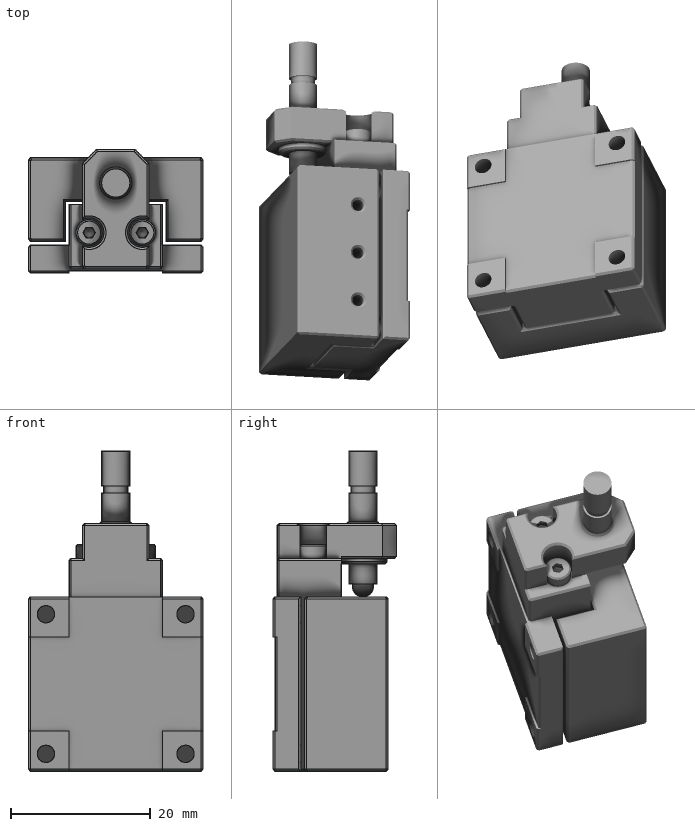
import cadquery as cq
import math


STAGE_SIZE = 25.0
EDGE_CHAMFER = 0.3
RAIL_HALF_WIDTH = 6.7
RAIL_BACK_Y = 9.8
MID_Z = STAGE_SIZE / 2

PLATE_BACK_Y = 4.0
PAD_HEIGHT = 0.3
PAD_SIZE_Z = 5.8
PAD_SIZE_X = STAGE_SIZE / 2 - RAIL_HALF_WIDTH
PLATE_HOLE_RADIUS = 1.25
PLATE_HOLE_PITCH = 20.0

TABLE_FRONT_Y = 4.55
TABLE_BACK_Y = 16.52
CHANNEL_HALF_WIDTH = 7.2
CHANNEL_FLOOR_Y = 10.25
SIDE_HOLE_RADIUS = 0.83
SIDE_HOLE_PITCH = 7.0
SIDE_HOLE_Y = 7.65

BRACKET_FRONT_Y = 0.6
SHOULDER_Z = STAGE_SIZE + 5.5
ARM_THICKNESS = 5.0
ARM_TOP_Z = SHOULDER_Z + ARM_THICKNESS
ARM_HALF_WIDTH = 4.77
ARM_BACK_Y = 17.7
ARM_CORNER = 2.0

PIN_Y = 12.9
PIN_RADIUS = 2.0
PIN_TOP_Z = 45.9
GROOVE_RADIUS = 1.75
GROOVE_WIDTH = 1.0
GROOVE_DEPTH_FROM_TOP = 5.0
COLLAR_RADIUS = 3.5
COLLAR_THICKNESS = 0.8
PIN_LOWER_LENGTH = 3.65
BALL_RADIUS = 1.5

SCREW_X = 3.8
SCREW_Y = 5.8
HEAD_RADIUS = 1.9
HEAD_HEIGHT = 2.0
HEAD_CHAMFER = 0.25
SHANK_RADIUS = 1.0
SHANK_LENGTH = SHOULDER_Z - STAGE_SIZE
SCREW_BORE_RADIUS = 2.1
SOCKET_ACROSS_FLATS = 1.5
SOCKET_DEPTH = 1.0
DRILL_TIP_ANGLE = 118


def block(half_width, y_front, y_back, z_bottom, z_top):
    """A box centred on X = 0 between the given Y and Z planes."""
    size = (2 * half_width, y_back - y_front, z_top - z_bottom)
    return cq.Workplane("XY").box(*size, centered=(True, False, False)).translate((0, y_front, z_bottom))


def revolve_about_z(profile):
    """Solid of revolution from a closed list of (radius, z) points."""
    return cq.Workplane("XZ").polyline(profile).close().revolve(360, (0, 0), (0, 1))


def countersunk_cutter(radius, depth):
    """Hole cutter with its mouth at z = 0, flared by the edge chamfer, going down by depth."""
    mouth = radius + EDGE_CHAMFER
    return revolve_about_z([(0, 0), (mouth, 0), (radius, -EDGE_CHAMFER), (radius, -depth), (0, -depth)])


def make_table():
    half = STAGE_SIZE / 2
    outline = [
        (-half, TABLE_BACK_Y),
        (-half, TABLE_FRONT_Y),
        (-CHANNEL_HALF_WIDTH, TABLE_FRONT_Y),
        (-CHANNEL_HALF_WIDTH, CHANNEL_FLOOR_Y),
        (CHANNEL_HALF_WIDTH, CHANNEL_FLOOR_Y),
        (CHANNEL_HALF_WIDTH, TABLE_FRONT_Y),
        (half, TABLE_FRONT_Y),
        (half, TABLE_BACK_Y),
    ]
    table = cq.Workplane("XY").polyline(outline).close().extrude(STAGE_SIZE)
    table = table.edges("|Z and (<X or >X)").chamfer(EDGE_CHAMFER)
    table = table.faces("<Z or >Z").edges().chamfer(EDGE_CHAMFER)

    wall = half - CHANNEL_HALF_WIDTH
    hole = countersunk_cutter(SIDE_HOLE_RADIUS, wall).rotate((0, 0, 0), (0, 1, 0), -90)
    for row in (-1, 0, 1):
        table = table.cut(hole.translate((-half, SIDE_HOLE_Y, MID_Z + row * SIDE_HOLE_PITCH)))
    return table


def make_plate():
    """Mounting plate with four raised, drilled corner pads on its front."""
    half = STAGE_SIZE / 2
    recessed = block(half, PAD_HEIGHT, PLATE_BACK_Y, 0, STAGE_SIZE)
    recessed = recessed.faces("<X or >X").edges().chamfer(EDGE_CHAMFER)
    recessed = recessed.faces("<Y").edges("<Z").chamfer(EDGE_CHAMFER)
    full = block(half, 0, PLATE_BACK_Y, 0, STAGE_SIZE)
    full = full.faces("<X or >X or <Y").edges().chamfer(EDGE_CHAMFER)
    pads = (
        cq.Workplane("XY")
        .rarray(STAGE_SIZE - PAD_SIZE_X, 0.45, 2, 1)
        .rect(PAD_SIZE_X, 2 * PLATE_BACK_Y)
        .extrude(PAD_SIZE_Z)
    )
    pads = pads.union(pads.translate((0, 0, STAGE_SIZE - PAD_SIZE_Z)))
    plate = recessed.union(full.intersect(pads))
    holes = (
        cq.Workplane("XZ")
        .center(0, MID_Z)
        .rarray(PLATE_HOLE_PITCH, PLATE_HOLE_PITCH, 2, 2)
        .circle(PLATE_HOLE_RADIUS)
        .extrude(-PLATE_BACK_Y)
    )
    return plate.cut(holes)


def make_rail_and_shoulders():
    """Rail behind the plate, rising above it as the lower block of the bracket."""
    rail = block(RAIL_HALF_WIDTH, PLATE_BACK_Y, RAIL_BACK_Y, 0, SHOULDER_Z)
    rail = rail.faces("<Z").edges("|Y").chamfer(EDGE_CHAMFER)
    rail = rail.faces(">Z").edges("|Y").chamfer(EDGE_CHAMFER)
    front = block(RAIL_HALF_WIDTH, BRACKET_FRONT_Y, RAIL_BACK_Y, STAGE_SIZE, SHOULDER_Z)
    front = front.edges("(|Z and <Y) or (|Y and >Z) or (|X and <Y and >Z)").chamfer(EDGE_CHAMFER)
    return rail.union(front)


def make_arm():
    """Overhanging arm with cut back corners, standing on the shoulders."""
    outline = [
        (-ARM_HALF_WIDTH, BRACKET_FRONT_Y),
        (ARM_HALF_WIDTH, BRACKET_FRONT_Y),
        (ARM_HALF_WIDTH, ARM_BACK_Y - ARM_CORNER),
        (ARM_HALF_WIDTH - ARM_CORNER, ARM_BACK_Y),
        (-ARM_HALF_WIDTH + ARM_CORNER, ARM_BACK_Y),
        (-ARM_HALF_WIDTH, ARM_BACK_Y - ARM_CORNER),
    ]
    arm = cq.Workplane("XY").workplane(offset=SHOULDER_Z).polyline(outline).close().extrude(ARM_THICKNESS)
    arm = arm.edges("|Z and <Y").chamfer(EDGE_CHAMFER)
    arm = arm.faces("<Z or >Z").edges().chamfer(EDGE_CHAMFER)
    foot_overlap = 2 * EDGE_CHAMFER
    foot = block(
        ARM_HALF_WIDTH, BRACKET_FRONT_Y, RAIL_BACK_Y, SHOULDER_Z - foot_overlap, SHOULDER_Z + foot_overlap
    )
    return arm.union(foot.edges("|Z and <Y").chamfer(EDGE_CHAMFER))


def make_pin():
    """Grooved adjusting pin with a collar under the arm and a ball tip resting on the table."""
    groove_top = PIN_TOP_Z - GROOVE_DEPTH_FROM_TOP
    groove_bottom = groove_top - GROOVE_WIDTH
    collar_bottom = SHOULDER_Z - COLLAR_THICKNESS
    pin_bottom = SHOULDER_Z - PIN_LOWER_LENGTH
    ball_z = STAGE_SIZE + BALL_RADIUS
    profile = [
        (0, PIN_TOP_Z),
        (PIN_RADIUS, PIN_TOP_Z),
        (PIN_RADIUS, groove_top),
        (GROOVE_RADIUS, groove_top),
        (GROOVE_RADIUS, groove_bottom),
        (PIN_RADIUS, groove_bottom),
        (PIN_RADIUS, ARM_TOP_Z + EDGE_CHAMFER),
        (PIN_RADIUS + EDGE_CHAMFER, ARM_TOP_Z),
        (PIN_RADIUS + EDGE_CHAMFER, SHOULDER_Z),
        (COLLAR_RADIUS, SHOULDER_Z),
        (COLLAR_RADIUS, collar_bottom + EDGE_CHAMFER),
        (COLLAR_RADIUS - EDGE_CHAMFER, collar_bottom),
        (PIN_RADIUS, collar_bottom),
        (PIN_RADIUS, pin_bottom),
        (math.sqrt(BALL_RADIUS**2 - (pin_bottom - ball_z) ** 2), pin_bottom),
    ]
    arc_middle = (BALL_RADIUS * math.sin(math.pi / 4), ball_z - BALL_RADIUS * math.cos(math.pi / 4))
    pin = (
        cq.Workplane("XZ")
        .polyline(profile)
        .threePointArc(arc_middle, (0, STAGE_SIZE))
        .close()
        .revolve(360, (0, 0), (0, 1))
    )
    return pin.translate((0, PIN_Y, 0))


def make_base():
    """Plate, rail, bracket and pin as one body, with the seats for the two screws."""
    base = make_plate().union(make_rail_and_shoulders()).union(make_arm()).union(make_pin())
    head_bore = countersunk_cutter(SCREW_BORE_RADIUS, ARM_THICKNESS)
    shank_hole = cq.Workplane("XY").circle(SHANK_RADIUS).extrude(-SHANK_LENGTH)
    for side in (-1, 1):
        base = base.cut(head_bore.translate((side * SCREW_X, SCREW_Y, ARM_TOP_Z)))
        base = base.cut(shank_hole.translate((side * SCREW_X, SCREW_Y, SHOULDER_Z)))
    return base


def make_screw(x):
    """Socket head screw with a drill-pointed hexagon socket, seated on the shoulder."""
    screw = cq.Workplane("XY").circle(HEAD_RADIUS).extrude(HEAD_HEIGHT)
    screw = screw.faces(">Z").edges().chamfer(HEAD_CHAMFER)
    screw = screw.union(cq.Workplane("XY").circle(SHANK_RADIUS).extrude(-SHANK_LENGTH))

    across_corners = SOCKET_ACROSS_FLATS / math.cos(math.pi / 6)
    floor_z = HEAD_HEIGHT - SOCKET_DEPTH
    socket = cq.Workplane("XY").workplane(offset=floor_z).polygon(6, across_corners).extrude(SOCKET_DEPTH)
    drill_radius = SOCKET_ACROSS_FLATS / 2
    tip_depth = drill_radius / math.tan(math.radians(DRILL_TIP_ANGLE / 2))
    tip = revolve_about_z([(0, floor_z), (drill_radius, floor_z), (0, floor_z - tip_depth)])
    return screw.cut(socket).cut(tip).translate((x, SCREW_Y, SHOULDER_Z))


table = make_table()
base = make_base()
screws = [make_screw(side * SCREW_X) for side in (-1, 1)]

result = cq.Compound.makeCompound([table.val(), base.val(), *[screw.val() for screw in screws]])